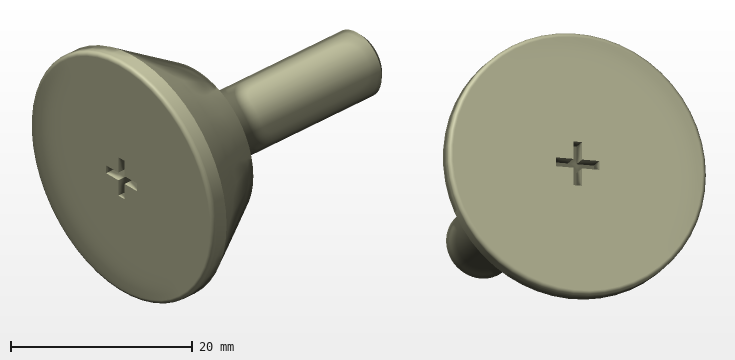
import cadquery as cq

total_length = 36.0
foot_diameter = 30.0
stem_diameter = 8.0

foot_height = 11.0
rim_height = 2.0
cone_top_diameter = 19.08
rim_fillet = 0.5

stem_chamfer = 0.7

cross_length = 5.0
cross_width = 1.0
cross_depth = 2.0


def turned_body():
    """Foot and stem as one solid of revolution about Y, starting at y = 0."""
    foot_radius = foot_diameter / 2
    stem_radius = stem_diameter / 2
    profile = (
        cq.Workplane("XY")
        .lineTo(foot_radius, 0)
        .lineTo(foot_radius, rim_height)
        .lineTo(cone_top_diameter / 2, foot_height)
        .lineTo(stem_radius, foot_height)
        .lineTo(stem_radius, total_length)
        .lineTo(0, total_length)
        .close()
    )
    body = profile.revolve(360, (0, 0, 0), (0, 1, 0))
    body = body.faces("<Y").edges().fillet(rim_fillet)
    return body.faces(">Y").edges().chamfer(stem_chamfer)


def cross_recess():
    """Two crossed bars that reach cross_depth into the foot face."""
    bar_along_x = cq.Workplane("XY").box(cross_length, cross_depth, cross_width)
    bar_along_z = cq.Workplane("XY").box(cross_width, cross_depth, cross_length)
    return bar_along_x.union(bar_along_z).translate((0, cross_depth / 2, 0))


result = turned_body().cut(cross_recess())